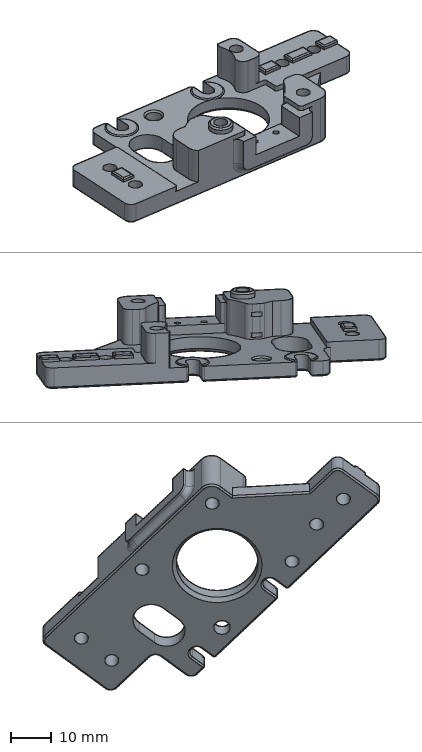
import cadquery as cq

PLATE_TOP = 3.9
PAD_TOP = 5.3
PLATFORM_TOP = 6.3
WALL_TOP = 11.6
BLOCK_TOP = 12.9
BOSS_TOP = 14.4
BOTTOM_CHAMFER = 0.4

LENGTH = 87.0
PLATE_RIGHT = 35.5
ARM_RIGHT = 15.0
ARM_DIAGONAL_Y = 76.7
SHOULDER_Y = 63.4
SHOULDER_RADIUS = 3.3
LOWER_EDGE_Y = 16.1
FOOT_LEFT = 12.1
CORNER_RADIUS = 2.0

MOTOR_X = 17.7
MOTOR_Y = 45.6
MOTOR_DIAMETER = 20.0
MOTOR_CHAMFER = 1.0
MOTOR_CLEARANCE_RADIUS = 13.8
BOLT_SPACING = 26.0
BOLT_LEFT = MOTOR_X - BOLT_SPACING / 2
BOLT_RIGHT = MOTOR_X + BOLT_SPACING / 2
BOLT_LOW = MOTOR_Y - BOLT_SPACING / 2
BOLT_HIGH = MOTOR_Y + BOLT_SPACING / 2
BOLT_DIAMETER = 3.4
PLAIN_HOLE_DIAMETER = 4.0
PLAIN_HOLE_CHAMFER = 0.4
BOSS_DIAMETER = 6.0
BOSS_CHAMFER = 0.4

OBLONG_X = 16.7
OBLONG_Y = 22.9
OBLONG_LENGTH = 14.0
OBLONG_WIDTH = 9.05

SLOT_X = 4.3
SLOT_CENTERS_Y = (22.8, 49.85)
SLOT_MOUTH_RADIUS = 0.5
RIM_DIAMETER = 8.3
RIM_HEIGHT = 0.3
RIM_TAPER = 52

ARM_PAD_BOTTOM = 62.8
FOOT_PAD_TOP_Y = 15.0
PAD_RADIUS = 0.5

ROD_HOLE_SPACING = 9.9
ARM_HOLES_X = 7.4
ARM_HOLES_Y = 75.8
FOOT_HOLES_X = 23.5
FOOT_HOLES_Y = 7.5
RIDGE_WIDTH = 3.3
RIDGE_LONG = 6.1
RIDGE_SHORT = 4.7
RIDGE_PITCH = 9.2
RIDGE_HEIGHT = 1.0
RIDGE_CHAMFER_HEIGHT = 0.3
RIDGE_CHAMFER_WIDTH = 0.4

LEFT_BLOCK_RIGHT = 10.8
LEFT_BLOCK_TOP_Y = 61.9
LEFT_BLOCK_OVERRUN = 0.9
SLOT_CLEARANCE_RADIUS = 6.8
RIGHT_BLOCK_LEFT = 22.9
RIGHT_BLOCK_INNER_RADIUS = 1.0
UPPER_BLOCK_BOTTOM_Y = 53.85
LOWER_BLOCK_TOP_Y = 36.8
LOWER_BLOCK_BOTTOM_Y = 20.6
LOWER_BLOCK_RADIUS = 3.5
LOWER_BLOCK_BEVEL_Y = 29.1
LOWER_BLOCK_STEP_X = 24.7
LOWER_BLOCK_STEP_Y = 26.2
LOWER_BLOCK_ARC_X = 33.0
LOWER_BLOCK_ARC_Y = 21.7

MOUNT_LEFT = 30.2
MOUNT_RIGHT = 37.6
MOUNT_LOW_Y = 34.2
MOUNT_HIGH_Y = 55.85
MOUNT_BOTTOM = 2.8
MOUNT_LOWER_RADIUS = 1.9
MOUNT_BLEND_RADIUS = 1.6
POCKET_LOW_Y = 38.1
POCKET_HIGH_Y = 51.8
WALL_END_RADIUS = 0.8
WALL_ROOT_RADIUS = 0.4
SCREW_DIAMETER = 1.5
SCREW_DEPTH = 2.6
SCREW_X = 32.6
SCREW_SPACING = 6.6
SCREW_Y = 45.15

RING_OUTER_DIAMETER = 6.35
RING_INNER_DIAMETER = 4.2
RING_WIDTH = 2.6
RING_Y = 30.5
RING_Z = 7.6


def box(x0, x1, y0, y1, z0, z1):
    """Box given by its limits along each axis."""
    return cq.Workplane("XY").box(x1 - x0, y1 - y0, z1 - z0, centered=False).translate((x0, y0, z0))


def cylinder(x, y, diameter, z0, z1):
    """Upright cylinder."""
    return cq.Workplane("XY").workplane(offset=z0).center(x, y).circle(diameter / 2).extrude(z1 - z0)


def cone(x, y, diameter, z0, height, taper):
    """Upright cone piece, with its base diameter at z0 and its side leaning in by taper degrees."""
    base = cq.Workplane("XY").workplane(offset=z0).center(x, y).circle(diameter / 2)
    return base.extrude(height, taper=taper)


def round_upright_edges(body, points, radius, z):
    """Round the upright edges, with middle height z, that pass nearest to the points."""
    for x, y in points:
        body = body.edges(cq.selectors.NearestToPointSelector((x, y, z))).fillet(radius)
    return body


def open_slot(y):
    """Slot with a round end that opens at the left side of the plate, with rounded mouth corners."""
    half = BOLT_DIAMETER / 2
    flare = half + SLOT_MOUTH_RADIUS
    return (
        cq.Workplane("XY")
        .moveTo(0, y + flare)
        .radiusArc((SLOT_MOUTH_RADIUS, y + half), -SLOT_MOUTH_RADIUS)
        .lineTo(SLOT_X, y + half)
        .threePointArc((SLOT_X + half, y), (SLOT_X, y - half))
        .lineTo(SLOT_MOUTH_RADIUS, y - half)
        .radiusArc((0, y - flare), -SLOT_MOUTH_RADIUS)
        .close()
        .extrude(BLOCK_TOP)
    )


def make_outline(height):
    """Plate outline with rounded corners and slots, extruded from the underside."""
    shoulder_x = ARM_RIGHT + ARM_DIAGONAL_Y - SHOULDER_Y
    corners = [(0, LENGTH), (ARM_RIGHT, LENGTH), (0, LOWER_EDGE_Y), (FOOT_LEFT, LOWER_EDGE_Y)]
    corners += [(FOOT_LEFT, 0), (PLATE_RIGHT, 0)]
    body = (
        cq.Workplane("XY")
        .polyline([
            (0, LENGTH),
            (ARM_RIGHT, LENGTH),
            (ARM_RIGHT, ARM_DIAGONAL_Y),
            (shoulder_x, SHOULDER_Y),
            (PLATE_RIGHT, SHOULDER_Y),
            (PLATE_RIGHT, 0),
            (FOOT_LEFT, 0),
            (FOOT_LEFT, LOWER_EDGE_Y),
            (0, LOWER_EDGE_Y),
        ])
        .close()
        .extrude(height)
    )
    body = round_upright_edges(body, corners, CORNER_RADIUS, height / 2)
    body = round_upright_edges(body, [(PLATE_RIGHT, SHOULDER_Y)], SHOULDER_RADIUS, height / 2)
    for y in SLOT_CENTERS_Y:
        body = body.cut(open_slot(y))
    return body.faces("<Z").chamfer(BOTTOM_CHAMFER)


def make_plate():
    """Plate with the thicker arm and foot."""
    plate = make_outline(PAD_TOP)
    arm = box(0, ARM_RIGHT, ARM_PAD_BOTTOM, LENGTH, 0, PAD_TOP)
    arm_root = box(0, LEFT_BLOCK_RIGHT, LEFT_BLOCK_TOP_Y - CORNER_RADIUS, ARM_PAD_BOTTOM, 0, PAD_TOP)
    step_corners = [(LEFT_BLOCK_RIGHT, ARM_PAD_BOTTOM), (ARM_RIGHT, ARM_PAD_BOTTOM)]
    arm = round_upright_edges(arm.union(arm_root), step_corners, PAD_RADIUS, PAD_TOP / 2)
    foot = box(FOOT_LEFT, PLATE_RIGHT, 0, FOOT_PAD_TOP_Y, 0, PAD_TOP)
    foot_corners = [(FOOT_LEFT, FOOT_PAD_TOP_Y), (PLATE_RIGHT, FOOT_PAD_TOP_Y)]
    foot = round_upright_edges(foot, foot_corners, PAD_RADIUS, PAD_TOP / 2)
    base = box(0, PLATE_RIGHT, 0, LENGTH, 0, PLATE_TOP)
    return plate.intersect(base.union(arm).union(foot))


def slot_corner(x):
    """Point at x on the upper side of the clearance around the upper slot."""
    reach = SLOT_CLEARANCE_RADIUS ** 2 - (x - SLOT_X) ** 2
    return (x, SLOT_CENTERS_Y[1] + reach ** 0.5)


def make_left_block():
    """Block at the upper left bolt hole, hollowed around the slot rim below it."""
    middle = (PLATE_TOP + BLOCK_TOP) / 2
    slot_y = SLOT_CENTERS_Y[1]
    low_y = slot_corner(LEFT_BLOCK_RIGHT)[1]
    block = box(-LEFT_BLOCK_OVERRUN, LEFT_BLOCK_RIGHT, low_y, LEFT_BLOCK_TOP_Y, PLATE_TOP, BLOCK_TOP)
    block = block.cut(cylinder(SLOT_X, slot_y, 2 * SLOT_CLEARANCE_RADIUS, PLATE_TOP, BLOCK_TOP))
    low_corners = [slot_corner(-LEFT_BLOCK_OVERRUN), slot_corner(LEFT_BLOCK_RIGHT)]
    block = round_upright_edges(block, low_corners, CORNER_RADIUS, middle)
    block = block.intersect(box(0, LEFT_BLOCK_RIGHT, low_y, LEFT_BLOCK_TOP_Y, PLATE_TOP, BLOCK_TOP))
    top_corners = [(0, LEFT_BLOCK_TOP_Y), (LEFT_BLOCK_RIGHT, LEFT_BLOCK_TOP_Y)]
    return round_upright_edges(block, top_corners, CORNER_RADIUS, middle)


def motor_clearance():
    """Cylinder that keeps the right blocks clear of the motor opening."""
    return cylinder(MOTOR_X, MOTOR_Y, 2 * MOTOR_CLEARANCE_RADIUS, PLATE_TOP, BLOCK_TOP)


def motor_corner(side):
    """Point where the clearance meets the left face of a right block: side is 1 above, -1 below."""
    reach = MOTOR_CLEARANCE_RADIUS ** 2 - (MOTOR_X - RIGHT_BLOCK_LEFT) ** 2
    return (RIGHT_BLOCK_LEFT, MOTOR_Y + side * reach ** 0.5)


def motor_edge(y):
    """Point at y on the right side of the motor clearance."""
    reach = MOTOR_CLEARANCE_RADIUS ** 2 - (y - MOTOR_Y) ** 2
    return (MOTOR_X + reach ** 0.5, y)


def make_upper_block():
    """Block at the upper right bolt hole."""
    middle = (PLATE_TOP + BLOCK_TOP) / 2
    block = box(RIGHT_BLOCK_LEFT, PLATE_RIGHT, UPPER_BLOCK_BOTTOM_Y, SHOULDER_Y, PLATE_TOP, BLOCK_TOP)
    block = block.cut(motor_clearance())
    left_corners = [(RIGHT_BLOCK_LEFT, SHOULDER_Y), motor_corner(1)]
    block = round_upright_edges(block, left_corners, CORNER_RADIUS, middle)
    block = round_upright_edges(block, [(PLATE_RIGHT, SHOULDER_Y)], SHOULDER_RADIUS, middle)
    inner_corners = [(PLATE_RIGHT, UPPER_BLOCK_BOTTOM_Y), motor_edge(UPPER_BLOCK_BOTTOM_Y)]
    return round_upright_edges(block, inner_corners, RIGHT_BLOCK_INNER_RADIUS, middle)


def make_lower_block():
    """Block at the lower right bolt hole."""
    middle = (PLATE_TOP + BLOCK_TOP) / 2
    block = (
        cq.Workplane("XY")
        .workplane(offset=PLATE_TOP)
        .moveTo(RIGHT_BLOCK_LEFT, LOWER_BLOCK_TOP_Y)
        .lineTo(PLATE_RIGHT, LOWER_BLOCK_TOP_Y)
        .lineTo(PLATE_RIGHT, LOWER_BLOCK_ARC_Y)
        .radiusArc((LOWER_BLOCK_ARC_X, LOWER_BLOCK_BOTTOM_Y), LOWER_BLOCK_RADIUS)
        .lineTo(LOWER_BLOCK_STEP_X, LOWER_BLOCK_BOTTOM_Y)
        .lineTo(LOWER_BLOCK_STEP_X, LOWER_BLOCK_STEP_Y)
        .lineTo(RIGHT_BLOCK_LEFT, LOWER_BLOCK_BEVEL_Y)
        .close()
        .extrude(BLOCK_TOP - PLATE_TOP)
        .cut(motor_clearance())
    )
    foot_corner = [(LOWER_BLOCK_STEP_X, LOWER_BLOCK_BOTTOM_Y)]
    block = round_upright_edges(block, foot_corner, LOWER_BLOCK_RADIUS, middle)
    left_corners = [(RIGHT_BLOCK_LEFT, LOWER_BLOCK_BEVEL_Y), motor_corner(-1)]
    block = round_upright_edges(block, left_corners, CORNER_RADIUS, middle)
    inner_corners = [(PLATE_RIGHT, LOWER_BLOCK_TOP_Y), motor_edge(LOWER_BLOCK_TOP_Y)]
    return round_upright_edges(block, inner_corners, RIGHT_BLOCK_INNER_RADIUS, middle)


def make_mount_overhang():
    """Part of the mount beyond the plate, blended into the plate's right side."""
    low_y = MOUNT_LOW_Y - 2 * MOUNT_BLEND_RADIUS
    high_y = MOUNT_HIGH_Y + 2 * MOUNT_BLEND_RADIUS
    side = box(MOUNT_LEFT, PLATE_RIGHT, low_y, high_y, 0, WALL_TOP)
    arm = box(MOUNT_LEFT, MOUNT_RIGHT, MOUNT_LOW_Y, MOUNT_HIGH_Y, MOUNT_BOTTOM, WALL_TOP)
    arm = arm.edges("|X and <Z").fillet(MOUNT_LOWER_RADIUS)
    margin = MOUNT_BLEND_RADIUS / 10
    seam = cq.selectors.BoxSelector(
        (PLATE_RIGHT - margin, low_y + margin, margin),
        (PLATE_RIGHT + margin, high_y - margin, WALL_TOP - margin),
    )
    blended = side.union(arm).edges(seam).fillet(MOUNT_BLEND_RADIUS)
    return blended.intersect(box(PLATE_RIGHT, MOUNT_RIGHT, low_y, high_y, 0, WALL_TOP))


def make_mount():
    """Sensor mount: a low platform between two walls."""
    root = box(MOUNT_LEFT, PLATE_RIGHT, MOUNT_LOW_Y, MOUNT_HIGH_Y, PLATE_TOP, WALL_TOP)
    pocket = box(MOUNT_LEFT, MOUNT_RIGHT, POCKET_LOW_Y, POCKET_HIGH_Y, PLATFORM_TOP, WALL_TOP)
    mount = root.union(make_mount_overhang()).cut(pocket)
    wall_ends = [(MOUNT_LEFT, POCKET_LOW_Y), (MOUNT_LEFT, POCKET_HIGH_Y)]
    mount = round_upright_edges(mount, wall_ends, WALL_END_RADIUS, (PLATFORM_TOP + WALL_TOP) / 2)
    for side in (-1, 1):
        y = SCREW_Y + side * SCREW_SPACING / 2
        mount = mount.cut(cylinder(SCREW_X, y, SCREW_DIAMETER, PLATFORM_TOP - SCREW_DEPTH, PLATFORM_TOP))
    return mount


def make_ridge(x, y, size_x, size_y):
    """Small rectangular ridge on a pad, with a bevelled top."""
    return (
        box(x - size_x / 2, x + size_x / 2, y - size_y / 2, y + size_y / 2, PAD_TOP, PAD_TOP + RIDGE_HEIGHT)
        .faces(">Z")
        .chamfer(RIDGE_CHAMFER_HEIGHT, RIDGE_CHAMFER_WIDTH)
    )


def make_ridges():
    """Three ridges along the arm, the outermost cut off at the end of the plate, and one on the foot."""
    ridges = make_ridge(ARM_HOLES_X, ARM_HOLES_Y, RIDGE_WIDTH, RIDGE_LONG)
    for side in (-1, 1):
        y = ARM_HOLES_Y + side * RIDGE_PITCH
        ridges = ridges.union(make_ridge(ARM_HOLES_X, y, RIDGE_WIDTH, RIDGE_SHORT))
    ridges = ridges.union(make_ridge(FOOT_HOLES_X, FOOT_HOLES_Y, RIDGE_SHORT, RIDGE_WIDTH))
    return ridges.intersect(box(0, PLATE_RIGHT, 0, LENGTH, PAD_TOP, PAD_TOP + RIDGE_HEIGHT))


def make_rim(y):
    """Raised, bevelled rim around an open slot."""
    return cone(SLOT_X, y, RIM_DIAMETER, PLATE_TOP, RIM_HEIGHT, RIM_TAPER).cut(open_slot(y))


def make_boss():
    """Locating boss on the lower right block."""
    boss = cylinder(BOLT_RIGHT, BOLT_LOW, BOSS_DIAMETER, BLOCK_TOP, BOSS_TOP)
    return boss.faces(">Z").edges().chamfer(BOSS_CHAMFER)


def through_holes():
    """Everything cut straight through: motor opening, oblong opening, bolt holes and rod holes."""
    holes = cylinder(MOTOR_X, MOTOR_Y, MOTOR_DIAMETER, 0, BOSS_TOP)
    holes = holes.union(cone(MOTOR_X, MOTOR_Y, MOTOR_DIAMETER + 2 * MOTOR_CHAMFER, 0, MOTOR_CHAMFER, 45))
    oblong = cq.Workplane("XY").center(OBLONG_X, OBLONG_Y).slot2D(OBLONG_LENGTH, OBLONG_WIDTH)
    holes = holes.union(oblong.extrude(BOSS_TOP))
    centers = [(BOLT_LEFT, BOLT_HIGH), (BOLT_RIGHT, BOLT_HIGH), (BOLT_RIGHT, BOLT_LOW)]
    for side in (-1, 1):
        offset = side * ROD_HOLE_SPACING / 2
        centers.append((ARM_HOLES_X, ARM_HOLES_Y + offset))
        centers.append((FOOT_HOLES_X + offset, FOOT_HOLES_Y))
    for x, y in centers:
        holes = holes.union(cylinder(x, y, BOLT_DIAMETER, 0, BOSS_TOP))
    return holes


def plain_hole():
    """Lower left hole, with a bevel at the plate's upper face."""
    bevel_z = PLATE_TOP - PLAIN_HOLE_CHAMFER
    bevel = cone(BOLT_LEFT, BOLT_LOW, PLAIN_HOLE_DIAMETER, bevel_z, PLAIN_HOLE_CHAMFER, -45)
    return bevel.union(cylinder(BOLT_LEFT, BOLT_LOW, PLAIN_HOLE_DIAMETER, 0, PLATE_TOP))


def make_half_ring():
    """Half ring let into the lower right block, its two ends flush with the block's left face."""
    ring = (
        cq.Workplane("XZ", origin=(RIGHT_BLOCK_LEFT, RING_Y, RING_Z))
        .circle(RING_OUTER_DIAMETER / 2)
        .circle(RING_INNER_DIAMETER / 2)
        .extrude(RING_WIDTH / 2, both=True)
    )
    return ring.intersect(make_lower_block())


def make_housing(half_ring):
    """Housing in one piece, with a recess for the half ring."""
    housing = make_plate()
    for part in (make_left_block(), make_upper_block(), make_lower_block(), make_mount()):
        housing = housing.union(part)
    wall_roots = [(MOUNT_LEFT, UPPER_BLOCK_BOTTOM_Y), (MOUNT_LEFT, LOWER_BLOCK_TOP_Y)]
    housing = round_upright_edges(housing, wall_roots, WALL_ROOT_RADIUS, (PLATE_TOP + WALL_TOP) / 2)
    housing = housing.union(make_boss()).union(make_ridges())
    for y in SLOT_CENTERS_Y:
        housing = housing.union(make_rim(y))
    return housing.cut(through_holes()).cut(plain_hole()).cut(half_ring)


half_ring = make_half_ring()
housing = make_housing(half_ring)

result = cq.Compound.makeCompound([housing.solids().val(), half_ring.solids().val()])